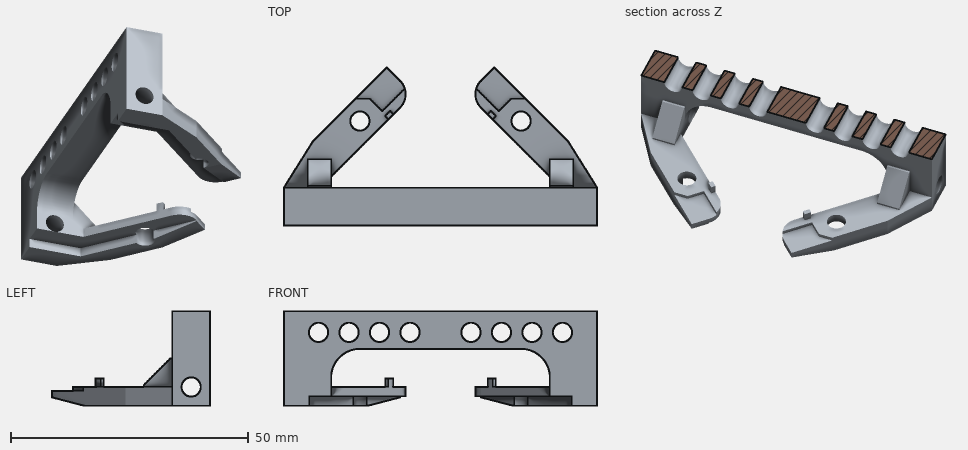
import cadquery as cq
import math

beam_length = 66.0
beam_depth = 8.0
beam_height = 20.0
half_length = beam_length / 2
leg_width = 10.0
arch_height = 12.0
arch_radius = 6.0
hole_diameter = 4.0

row_pitch = 6.42
row_height = 15.5
holes_per_side = 4

cross_hole_y = beam_depth / 2
cross_hole_z = 4.0

arm_thickness = 4.0
arm_width = 8.0
arm_angle = 45.0
arm_tip_y = 33.34
arm_root_y = 17.8
arm_corner_radius = 4.0
arm_hole_x = -16.97
arm_hole_y = 22.03
half_width = arm_width / 2

seat_z = 3.2
seat_front_y = 26.75
seat_start = 4.8
rail_width = 2.15

tip_bottom_z = 1.8
taper_length = 9.8

recess_height = 2.0
recess_wall_offset = 5.4

pin_length = 1.5
pin_width = 1.0
pin_top_z = 5.8
pin_start = 4.5

gusset_width = 5.0
gusset_depth = 6.0
gusset_top_z = 10.0
gusset_bevel = 5.6

cut_margin = 5.0

cos_arm = math.cos(math.radians(arm_angle))
sin_arm = math.sin(math.radians(arm_angle))


def arm_point(along, across):
    """Point on the left arm: distance from the arm hole towards the tip, and outwards from the centre line."""
    x = arm_hole_x + along * cos_arm - across * sin_arm
    y = arm_hole_y + along * sin_arm + across * cos_arm
    return (x, y)


def along_at_y(y, across):
    """Distance along the arm at which a line parallel to it reaches the given Y."""
    return (y - arm_hole_y - across * cos_arm) / sin_arm


def along_at_x(x, across):
    """Distance along the arm at which a line parallel to it reaches the given X."""
    return (x - arm_hole_x + across * sin_arm) / cos_arm


def prism(points, bottom, top):
    """Upright prism over an XY outline."""
    return cq.Workplane("XY").workplane(offset=bottom).polyline(points).close().extrude(top - bottom)


tip = along_at_y(arm_tip_y, half_width)
leg_inner_x = -half_length + leg_width
recess_wall_x = -half_length + recess_wall_offset


def make_beam():
    beam = cq.Workplane("XY").box(beam_length, beam_depth, beam_height, centered=(True, False, False))
    arch_width = beam_length - 2 * leg_width
    arch = (
        cq.Workplane("XY")
        .box(arch_width, beam_depth, arch_height, centered=(True, False, False))
        .edges("|Y and >Z")
        .fillet(arch_radius)
    )
    return beam.cut(arch)


def make_arm_plate():
    outline = [
        (-half_length, beam_depth),
        (leg_inner_x, beam_depth),
        arm_point(along_at_x(leg_inner_x, -half_width), -half_width),
        arm_point(tip, -half_width),
        arm_point(tip, half_width),
        arm_point(along_at_y(arm_root_y, half_width), half_width),
    ]
    plate = prism(outline, 0, arm_thickness)
    return plate.edges("|Z and >X").fillet(arm_corner_radius)


def make_seat_cut():
    """Space above the seat: leaves a raised rail along the inner edge and a bevelled front step."""
    rail_edge = rail_width - half_width
    step_across = (seat_front_y - arm_hole_y - seat_start * sin_arm) / cos_arm
    outer = half_width + cut_margin
    outline = [
        arm_point(seat_start, rail_edge),
        arm_point(tip + cut_margin, rail_edge),
        arm_point(tip + cut_margin, outer),
        arm_point(along_at_y(seat_front_y, outer), outer),
        arm_point(seat_start, step_across),
    ]
    return prism(outline, seat_z, arm_thickness)


def make_taper_cut():
    """Wedge below the arm tip, drawn lengthwise along the arm and swept across its width."""
    slope = tip_bottom_z / taper_length
    wedge_end = tip + cut_margin
    wedge_height = slope * (wedge_end - tip + taper_length)
    origin_x, origin_y = arm_point(0, 0)
    side_plane = cq.Plane(
        origin=(origin_x, origin_y, 0), xDir=(cos_arm, sin_arm, 0), normal=(sin_arm, -cos_arm, 0)
    )
    wedge = [(tip - taper_length, 0), (wedge_end, 0), (wedge_end, wedge_height)]
    return cq.Workplane(side_plane).polyline(wedge).close().extrude(arm_width, both=True)


def make_recess():
    """Space under the inner half of the arm, bounded by the arm centre line and a wall across the leg."""
    far = tip + cut_margin
    outline = [
        (recess_wall_x, 0),
        arm_point(along_at_x(recess_wall_x, 0), 0),
        arm_point(far, 0),
        arm_point(far, -arm_width),
        (leg_inner_x, 0),
    ]
    return prism(outline, 0, recess_height)


def make_pin():
    inner = -half_width
    outline = [
        arm_point(pin_start, inner),
        arm_point(pin_start + pin_length, inner),
        arm_point(pin_start + pin_length, inner + pin_width),
        arm_point(pin_start, inner + pin_width),
    ]
    return prism(outline, recess_height, pin_top_z)


def make_gusset():
    back_y = beam_depth + gusset_depth
    profile = [
        (beam_depth, arm_thickness),
        (back_y, arm_thickness),
        (back_y, gusset_top_z - gusset_bevel),
        (back_y - gusset_bevel, gusset_top_z),
        (beam_depth, gusset_top_z),
    ]
    gusset = cq.Workplane("YZ").workplane(offset=leg_inner_x - gusset_width)
    return gusset.polyline(profile).close().extrude(gusset_width)


def make_arm():
    arm_hole = (
        cq.Workplane("XY").center(arm_hole_x, arm_hole_y).circle(hole_diameter / 2).extrude(arm_thickness)
    )
    plate = make_arm_plate().cut(make_seat_cut()).cut(make_taper_cut()).cut(arm_hole)
    return plate.union(make_pin()).union(make_gusset())


def make_row_holes():
    centers = []
    for step in range(1, holes_per_side + 1):
        centers.append((-step * row_pitch, row_height))
        centers.append((step * row_pitch, row_height))
    holes = cq.Workplane("XZ").pushPoints(centers).circle(hole_diameter / 2)
    return holes.extrude(-beam_depth)


def make_cross_hole():
    hole = cq.Workplane("YZ").center(cross_hole_y, cross_hole_z).circle(hole_diameter / 2)
    return hole.extrude(half_length, both=True)


left_arm = make_arm()
left_recess = make_recess()

result = make_beam().union(left_arm).union(left_arm.mirror("YZ"))
result = result.cut(left_recess).cut(left_recess.mirror("YZ"))
result = result.cut(make_row_holes()).cut(make_cross_hole())